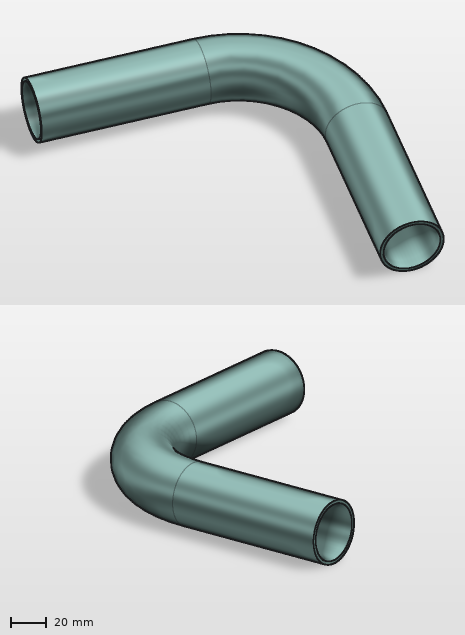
import cadquery as cq

overall_length = 188.8
outer_diameter = 37.8
wall_thickness = 2.0
leg_length = 100.0

outer_radius = outer_diameter / 2
inner_radius = outer_radius - wall_thickness
bend_radius = overall_length - outer_radius - leg_length


def ring_profile(workplane):
    """Draw the annular tube section on a workplane."""
    return workplane.circle(outer_radius).circle(inner_radius)


leg_along_y = ring_profile(cq.Workplane("XZ", origin=(-bend_radius, 0, 0))).extrude(leg_length)
leg_along_x = ring_profile(cq.Workplane("YZ", origin=(0, bend_radius, 0))).extrude(leg_length)

bend = ring_profile(cq.Workplane("XZ", origin=(-bend_radius, 0, 0))).revolve(
    90, (bend_radius, 0, 0), (bend_radius, -1, 0)
)

result = leg_along_y.union(bend).union(leg_along_x)